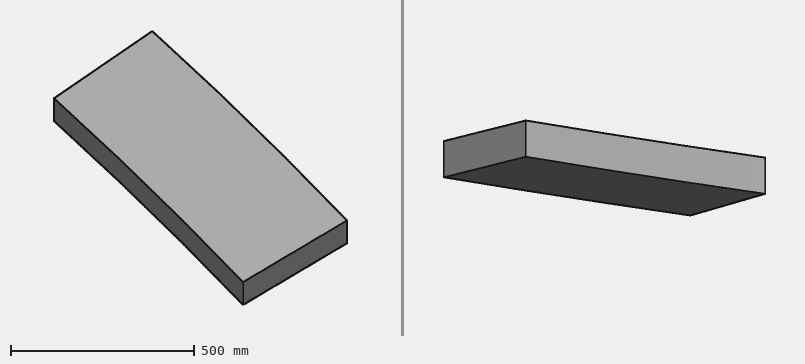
import cadquery as cq
import math

outer_radius = 12109.0
radial_width = 355.0
thickness = 101.0
start_angle = 108.4
sweep_angle = 4.0

inner_radius = outer_radius - radial_width
end_angle = start_angle + sweep_angle
middle_angle = start_angle + sweep_angle / 2


def ring_point(radius, angle):
    """Point on a circle about the ring axis, with the angle in degrees."""
    angle_rad = math.radians(angle)
    return (radius * math.cos(angle_rad), radius * math.sin(angle_rad))


result = (
    cq.Workplane("XY")
    .moveTo(*ring_point(outer_radius, start_angle))
    .threePointArc(ring_point(outer_radius, middle_angle), ring_point(outer_radius, end_angle))
    .lineTo(*ring_point(inner_radius, end_angle))
    .threePointArc(ring_point(inner_radius, middle_angle), ring_point(inner_radius, start_angle))
    .close()
    .extrude(thickness)
)